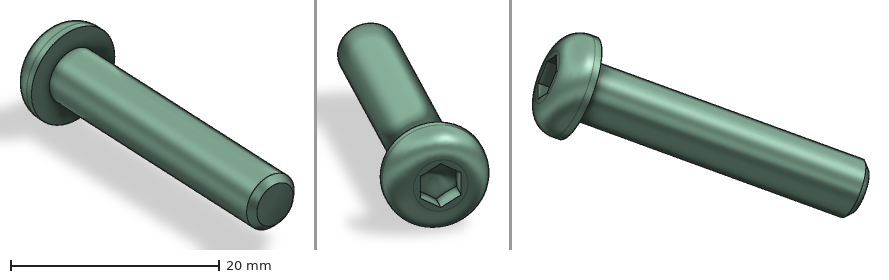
import cadquery as cq
import math

TOTAL_LENGTH = 33.3
HEAD_DIAMETER = 10.5
HEAD_HEIGHT = 3.3
RIM_WIDTH = 0.73
SHANK_DIAMETER = 6.0
TIP_CHAMFER = 0.7
SOCKET_WIDTH = 4.0
SOCKET_DEPTH = 2.05
SOCKET_POINT_ANGLE = 120.0

head_radius = HEAD_DIAMETER / 2
shank_radius = SHANK_DIAMETER / 2
dome_radius = HEAD_HEIGHT - RIM_WIDTH
crown_radius = head_radius - dome_radius
socket_corner_radius = SOCKET_WIDTH / math.sqrt(3)


def make_body():
    """Revolve the quarter-round head and chamfered shank about X."""
    arc_offset = dome_radius * math.sqrt(0.5)
    dome_middle = (dome_radius - arc_offset, crown_radius + arc_offset)
    return (
        cq.Workplane("XY")
        .lineTo(0, crown_radius)
        .threePointArc(dome_middle, (dome_radius, head_radius))
        .lineTo(HEAD_HEIGHT, head_radius)
        .lineTo(HEAD_HEIGHT, shank_radius)
        .lineTo(TOTAL_LENGTH - TIP_CHAMFER, shank_radius)
        .lineTo(TOTAL_LENGTH, shank_radius - TIP_CHAMFER)
        .lineTo(TOTAL_LENGTH, 0)
        .close()
        .revolve(360, (0, 0, 0), (1, 0, 0))
    )


def make_socket():
    """Hexagon with corners at +Z and -Z, ending in a conical point."""
    corner_angles = [math.radians(90 + 60 * i) for i in range(6)]
    corners = [
        (socket_corner_radius * math.cos(a), socket_corner_radius * math.sin(a))
        for a in corner_angles
    ]
    hexagon = cq.Workplane("YZ").polyline(corners).close().extrude(SOCKET_DEPTH)

    half_angle = math.radians(SOCKET_POINT_ANGLE / 2)
    point_depth = socket_corner_radius / math.tan(half_angle)
    cone = cq.Workplane(
        cq.Solid.makeCone(
            socket_corner_radius,
            0,
            point_depth,
            pnt=cq.Vector(SOCKET_DEPTH, 0, 0),
            dir=cq.Vector(1, 0, 0),
        )
    )
    hexagon_column = cq.Workplane("YZ").polyline(corners).close().extrude(SOCKET_DEPTH + point_depth)
    return hexagon.union(cone.intersect(hexagon_column))


result = make_body().cut(make_socket())